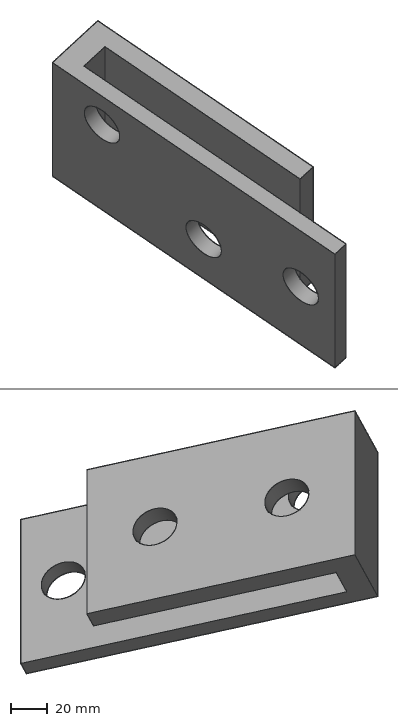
import cadquery as cq

length = 203.2
depth = 38.1
height = 101.6

front_thickness = 9.4
back_thickness = 11.1
web_thickness = 14.7
back_length = 155.0

hole_diameter = 25.4
front_hole_centers = [
    (35.7, 76.2),
    (108.8, 35.5),
    (178.6, 52.0),
]
back_hole_pitch = 76.2
back_hole_centers = [
    (back_length / 2 - back_hole_pitch / 2, height / 2),
    (back_length / 2 + back_hole_pitch / 2, height / 2),
]


def plate(plate_length, thickness, front_y):
    """Upright plate starting at the web end, with its front face at front_y."""
    block = cq.Workplane("XY").box(plate_length, thickness, height, centered=False)
    return block.translate((0, front_y, 0))


def hole_cutter(center, thickness, front_y):
    """Cylinder along Y that pierces a plate of the given thickness."""
    x, z = center
    axis_start = cq.Vector(x, front_y, z)
    axis_direction = cq.Vector(0, 1, 0)
    cylinder = cq.Solid.makeCylinder(hole_diameter / 2, thickness, axis_start, axis_direction)
    return cq.Workplane(cylinder)


back_y = depth - back_thickness

front_plate = plate(length, front_thickness, 0)
for hole_center in front_hole_centers:
    front_plate = front_plate.cut(hole_cutter(hole_center, front_thickness, 0))

back_plate = plate(back_length, back_thickness, back_y)
for hole_center in back_hole_centers:
    back_plate = back_plate.cut(hole_cutter(hole_center, back_thickness, back_y))

web = plate(web_thickness, depth, 0)

result = front_plate.union(back_plate).union(web)